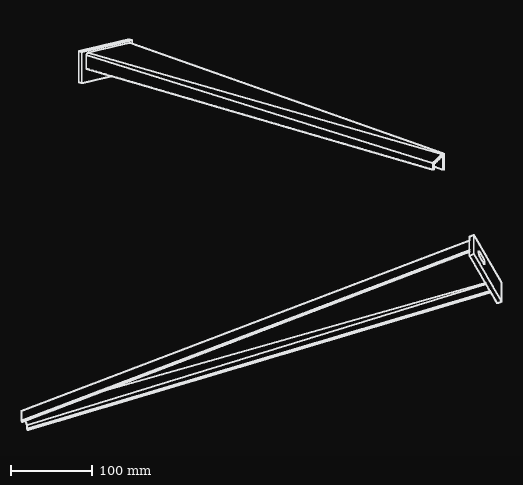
import cadquery as cq
import math

total_length = 616.0

plate_thickness = 6.0
plate_width = 80.0
plate_height = 40.0

slot_length = 19.0
slot_height = 10.0
slot_from_back = 22.0

sheet_thickness = 2.5
arm_back = -4.0
arm_top = -2.5
arm_height = 20.5
arm_bottom = arm_top - arm_height

root_front = -73.5
root_bevel = 2.5

tip_ridge = -7.5
tip_front = -22.0
tip_bevel_drop = 8.5
tip_flange_lift = 3.0


def make_plate():
    """Flat wall plate with one horizontal mounting slot."""
    plate = cq.Workplane("XY").box(plate_thickness, plate_width, plate_height, centered=False)
    plate = plate.translate((0, -plate_width, -plate_height))
    slot = (
        cq.Workplane("YZ")
        .center(-slot_from_back, -plate_height / 2)
        .slot2D(slot_length, slot_height)
        .extrude(plate_thickness)
    )
    return plate.cut(slot)


def inner_corner(before, corner, after):
    """Mitred corner one sheet thickness inside a bend of the outer outline."""
    angle_in = math.atan2(corner[1] - before[1], corner[0] - before[0])
    angle_out = math.atan2(after[1] - corner[1], after[0] - corner[0])
    half_turn = (angle_out - angle_in) / 2
    direction = angle_in + half_turn + math.pi / 2
    reach = sheet_thickness / math.cos(half_turn)
    return (corner[0] + reach * math.cos(direction), corner[1] + reach * math.sin(direction))


def arm_section(ridge, front, bevel_drop, flange_bottom):
    """Closed YZ outline of the sheet: back flange, top, bevel and front flange."""
    back_foot = (arm_back, arm_bottom)
    front_foot = (front, flange_bottom)
    bends = [(arm_back, arm_top), (ridge, arm_top), (front, arm_top - bevel_drop)]
    outer = [back_foot, *bends, front_foot]
    inner = [inner_corner(*outer[i:i + 3]) for i in range(len(bends))]
    inner_back_foot = (arm_back - sheet_thickness, arm_bottom)
    inner_front_foot = (front + sheet_thickness, flange_bottom)
    return [*outer, inner_front_foot, *reversed(inner), inner_back_foot]


def make_arm():
    """Tapered arm, open below, whose bevel widens from the plate to the free end."""
    root = arm_section(root_front + root_bevel, root_front, root_bevel, arm_bottom)
    tip = arm_section(tip_ridge, tip_front, tip_bevel_drop, arm_bottom + tip_flange_lift)
    return (
        cq.Workplane("YZ", origin=(plate_thickness, 0, 0))
        .polyline(root)
        .close()
        .workplane(offset=total_length - plate_thickness)
        .polyline(tip)
        .close()
        .loft(ruled=True)
    )


plate = make_plate()
arm = make_arm()

result = cq.Compound.makeCompound([plate.val(), arm.val()])